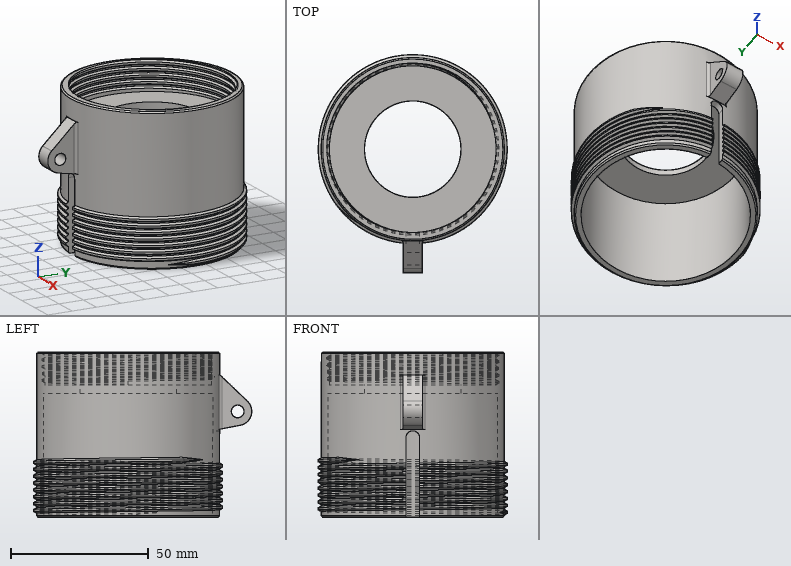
import cadquery as cq
import math

body_radius = 66.6 / 2
body_height = 60.0
edge_chamfer = 0.55

recess_radius = 60.6 / 2
recess_depth = 12.0
web_thickness = 3.0
web_hole_radius = 35.0 / 2
cavity_radius = 30.8
floor_z = body_height - recess_depth

pitch = 2.5
flank_angle = math.radians(30)
base_overlap = 0.2
male_crest_radius = 68.75 / 2
male_crest_width = 0.8
male_start_z = 1.8
male_turns = 7.6
fade_angle = 18
fade_steps = 3
fade_tip_scale = 0.05
groove_bottom_radius = 62.6 / 2
groove_bottom_width = 0.55
groove_start_z = floor_z + 1.0
groove_turns = 5
recess_overshoot = 4

slot_width = 5.0
slot_top_z = 31.4

lug_width = 7.0
lug_reach = 79.3 - male_crest_radius
lug_top_z = 51.8
lug_bottom_z = 31.95
eye_radius = 5.15
eye_hole_radius = 4.5 / 2
eye_y = eye_radius - lug_reach
eye_z = 38.5
lug_fillet = 1.0


def thread_section(wall_radius, tip_radius, tip_width, angle, z):
    """Closed thread outline in the half plane at the given angle, with its base crossing the wall."""
    base_radius = wall_radius - base_overlap
    half_tip = tip_width / 2
    half_base = half_tip + (tip_radius - base_radius) * math.tan(flank_angle)
    outline = [
        (base_radius, -half_base),
        (tip_radius, -half_tip),
        (tip_radius, half_tip),
        (base_radius, half_base),
    ]
    turn = math.radians(angle)
    corners = [cq.Vector(r * math.cos(turn), r * math.sin(turn), z + dz) for r, dz in outline]
    return cq.Wire.makePolygon(corners, close=True)


def make_thread(wall_radius, tip_radius, tip_width, start_z, turns):
    """Helical bar that starts at the +X axis."""
    helix = cq.Wire.makeHelix(pitch, pitch * turns, wall_radius)
    section = thread_section(wall_radius, tip_radius, tip_width, 0, 0)
    bar = cq.Solid.sweep(section, [], helix, True, True)
    return cq.Workplane(bar.translate(cq.Vector(0, 0, start_z)))


def make_fade(turns, direction):
    """End of the outer ridge, shrinking into the wall as it follows the helix up or down."""
    full_height = male_crest_radius - body_radius
    sections = []
    for step in range(fade_steps + 1):
        part = step / fade_steps
        scale = 1 - part * (1 - fade_tip_scale)
        angle = 360 * turns + direction * fade_angle * part
        sections.append(
            thread_section(
                body_radius,
                body_radius + full_height * scale,
                male_crest_width * scale,
                angle,
                male_start_z + pitch * angle / 360,
            )
        )
    return cq.Workplane(cq.Solid.makeLoft(sections, True))


def make_threaded_recess():
    """Cutter for the recess and its thread groove, both running out through the rim."""
    recess = (
        cq.Workplane("XY")
        .workplane(offset=floor_z)
        .circle(recess_radius)
        .extrude(recess_depth + recess_overshoot)
    )
    groove = make_thread(
        recess_radius, groove_bottom_radius, groove_bottom_width, groove_start_z, groove_turns
    )
    return recess.union(groove)


def make_body():
    """Chamfered sleeve with the threaded recess, the web hole and the lower cavity."""
    sleeve = cq.Workplane("XY").circle(body_radius).extrude(body_height)
    sleeve = sleeve.faces("<Z or >Z").edges().chamfer(edge_chamfer)
    hole = cq.Workplane("XY").circle(web_hole_radius).extrude(body_height)
    cavity = cq.Workplane("XY").circle(cavity_radius).extrude(floor_z - web_thickness)
    return sleeve.cut(hole).cut(cavity).cut(make_threaded_recess())


def eye_tangent_point(z, side):
    """Point where the line from the sleeve at height z touches the eye, on the given side."""
    away = math.atan2(z - eye_z, -body_radius - eye_y)
    opening = math.acos(eye_radius / math.hypot(body_radius + eye_y, z - eye_z))
    angle = away + side * opening
    return (eye_y + eye_radius * math.cos(angle), eye_z + eye_radius * math.sin(angle))


def make_lug():
    """Plate with straight edges tangent to the eye, flaring with coves into the sleeve wall."""
    root_y = -(body_radius + groove_bottom_radius) / 2
    half_width = lug_width / 2
    profile = (
        cq.Workplane("YZ")
        .moveTo(root_y, lug_top_z)
        .lineTo(-body_radius, lug_top_z)
        .lineTo(*eye_tangent_point(lug_top_z, 1))
        .threePointArc((-lug_reach, eye_z), eye_tangent_point(lug_bottom_z, -1))
        .lineTo(-body_radius, lug_bottom_z)
        .lineTo(root_y, lug_bottom_z)
        .close()
        .extrude(lug_width, both=True)
    )

    cove_x = half_width + lug_fillet
    cove_y = -math.sqrt((body_radius + lug_fillet) ** 2 - cove_x ** 2)
    wall_share = body_radius / (body_radius + lug_fillet)
    wall_x = cove_x * wall_share
    wall_y = cove_y * wall_share
    middle = (math.pi + math.atan2(-cove_y, -cove_x)) / 2
    middle_x = cove_x + lug_fillet * math.cos(middle)
    middle_y = cove_y + lug_fillet * math.sin(middle)
    plan = (
        cq.Workplane("XY")
        .moveTo(wall_x, root_y)
        .lineTo(wall_x, wall_y)
        .threePointArc((middle_x, middle_y), (half_width, cove_y))
        .lineTo(half_width, -lug_reach)
        .lineTo(-half_width, -lug_reach)
        .lineTo(-half_width, cove_y)
        .threePointArc((-middle_x, middle_y), (-wall_x, wall_y))
        .lineTo(-wall_x, root_y)
        .close()
        .extrude(body_height)
    )
    eye_hole = (
        cq.Workplane("YZ").center(eye_y, eye_z).circle(eye_hole_radius).extrude(lug_width, both=True)
    )
    return profile.intersect(plan).cut(eye_hole)


def make_slot():
    """Round-topped cutter through the -Y wall only."""
    radius = slot_width / 2
    straight = slot_top_z - radius
    return (
        cq.Workplane("XZ")
        .moveTo(-radius, 0)
        .lineTo(-radius, straight)
        .threePointArc((0, slot_top_z), (radius, straight))
        .lineTo(radius, 0)
        .close()
        .extrude(lug_reach)
    )


result = make_body().union(make_lug())

ridge = make_thread(body_radius, male_crest_radius, male_crest_width, male_start_z, male_turns)
result = result.union(ridge)
result = result.union(make_fade(0, -1))
result = result.union(make_fade(male_turns, 1))

result = result.cut(make_slot())